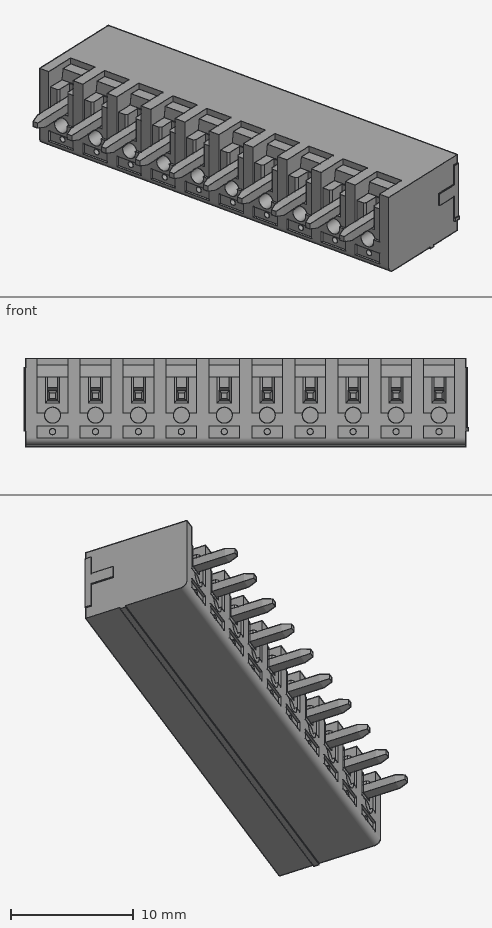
import cadquery as cq

overall_length = 36.2
overall_depth = 12.6
end_plate_thickness = 0.125
lug_thickness = 0.07
plated_length = overall_length - lug_thickness
body_length = plated_length - 2 * end_plate_thickness
body_depth = 9.2
body_height = 7.05
front_bottom_radius = 0.58
front_y = -body_depth

pole_count = 10
pole_span = 31.5
pole_pitch = pole_span / (pole_count - 1)

pocket_width = 2.5
pocket_drop = 4.45
pocket_depth = 2.95
shelf_drop = 0.55
shelf_depth = 1.92
slope_foot_drop = 1.52
slope_foot_depth = 1.77
block_setback = 0.2

pin_drop = 3.05
pin_size = 0.85
pin_end_y = -overall_depth
pin_taper_length = 0.8
pin_tip_size = 0.47
pin_z = body_height - pin_drop

slot_width = 0.8
slot_bevel = 0.18
slot_back_depth = 1.65
slot_floor_z = pin_z - slot_width / 2

relief_height = 0.25
relief_depth = 0.55

screw_hole_diameter = 1.3
screw_hole_drop = 4.65
screw_hole_depth = 2.17

notch_top_drop = 5.5
notch_depth = block_setback
small_hole_diameter = 0.5
small_hole_drop = 5.97
small_hole_depth = 0.72

plate_depth = 0.55
plate_top_drop = 0.75
plate_height = 5.18
tab_reach = 2.55
tab_top_drop = 2.55
tab_height = 1.1

lug_height = 0.3

rib_width = 0.5
rib_height = 0.15
rib_y = -3.35


def box(x_size, y_range, z_range):
    """Box centred on X between the given Y and Z limits."""
    y_size = y_range[1] - y_range[0]
    z_size = z_range[1] - z_range[0]
    low_edge = (0, y_range[0], z_range[0])
    return cq.Workplane(origin=low_edge).box(x_size, y_size, z_size, centered=(True, False, False))


def housing():
    block = box(body_length, (front_y, 0), (0, body_height))
    block = block.faces("<Y").edges("<Z").fillet(front_bottom_radius)
    rib = box(body_length, (rib_y - rib_width / 2, rib_y + rib_width / 2), (-rib_height, body_height))
    return block.union(rib)


def end_plates():
    """Plates standing proud of both ends, plus the lug; each box runs on through the housing."""
    plate_top = body_height - plate_top_drop
    tab_top = body_height - tab_top_drop
    plate = box(plated_length, (-plate_depth, 0), (plate_top - plate_height, plate_top))
    tab = box(plated_length, (-tab_reach, 0), (tab_top - tab_height, tab_top))
    plate_bottom = plate_top - plate_height
    lug = box(plated_length, (-plate_depth, 0), (plate_bottom, plate_bottom + lug_height))
    return plate.union(tab).union(lug.translate((lug_thickness, 0, 0)))


def pocket_cut():
    """Stepped pocket whose side profile leaves a shelf, a slope and a block standing inside."""
    block_top = body_height - slope_foot_drop
    floor = body_height - pocket_drop
    profile = [
        (front_y, body_height),
        (front_y + pocket_depth, body_height),
        (front_y + pocket_depth, body_height - shelf_drop),
        (front_y + shelf_depth, body_height - shelf_drop),
        (front_y + slope_foot_depth, block_top),
        (front_y + block_setback, block_top),
        (front_y + block_setback, floor),
        (front_y, floor),
    ]
    return cq.Workplane("YZ").polyline(profile).close().extrude(pocket_width / 2, both=True)


def slot_cut():
    """Slot open at the top of the block, flaring at its mouth, with a relief in its back wall."""
    top = body_height - slope_foot_drop
    mouth_y = front_y + block_setback
    back_y = front_y + slot_back_depth
    slot = box(slot_width, (mouth_y, back_y), (slot_floor_z, top))

    slot_height = 2 * (top - slot_floor_z)
    flare = (
        cq.Workplane("XZ", origin=(0, mouth_y, top))
        .rect(slot_width + 2 * slot_bevel, slot_height + 2 * slot_bevel)
        .workplane(offset=-slot_bevel)
        .rect(slot_width, slot_height)
        .loft(ruled=True)
    )
    flare = flare.intersect(box(pocket_width, (front_y, 0), (0, top)))

    pin_top = pin_z + pin_size / 2
    relief = (
        cq.Workplane("YZ")
        .polyline([(back_y, pin_z), (back_y, pin_top + relief_height), (back_y + relief_depth, pin_top)])
        .close()
        .extrude(slot_width / 2, both=True)
    )
    return slot.union(flare).union(relief)


def front_hole(diameter, drop, depth):
    """Blind round hole bored from the front plane, centred a given drop below the top."""
    plane = cq.Workplane("XZ", origin=(0, front_y, body_height - drop))
    return plane.circle(diameter / 2).extrude(-depth)


def notch_cut():
    """Shallow notch whose floor meets the start of the rounded lower front edge."""
    notch_top = body_height - notch_top_drop
    return box(pocket_width, (front_y, front_y + notch_depth), (front_bottom_radius, notch_top))


def pin():
    """Square pin with a tapered tip, rooted in the housing behind the pocket."""
    taper_y = pin_end_y + pin_taper_length
    half = pin_size / 2
    shank = box(pin_size, (taper_y, front_y + pocket_depth), (pin_z - half, pin_z + half))
    tip = (
        cq.Workplane("XZ", origin=(0, taper_y, pin_z))
        .rect(pin_size, pin_size)
        .workplane(offset=pin_taper_length)
        .rect(pin_tip_size, pin_tip_size)
        .loft(ruled=True)
    )
    return shank.union(tip)


def pole_cut():
    cut = pocket_cut().union(slot_cut()).union(notch_cut())
    cut = cut.union(front_hole(screw_hole_diameter, screw_hole_drop, screw_hole_depth))
    return cut.union(front_hole(small_hole_diameter, small_hole_drop, small_hole_depth))


result = housing().union(end_plates())
one_cut = pole_cut()
one_pin = pin()
for pole in range(pole_count):
    place = (pole * pole_pitch - pole_span / 2, 0, 0)
    result = result.cut(one_cut.translate(place)).union(one_pin.translate(place))